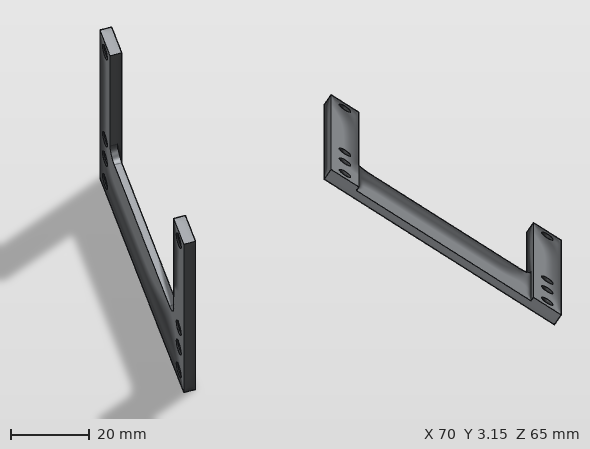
import cadquery as cq

width = 70.0
height = 65.0
thickness = 3.15

leg_width = 8.5
web_height = 22.0
corner_radius = 3.5

web_thickness = 2.0

hole_diameter = 3.4
chamfer_diameter = 4.1
hole_chamfer = (chamfer_diameter - hole_diameter) / 2
hole_heights = (4.3, 14.3, 22.75, 61.0)

opening_width = width - 2 * leg_width


def box(size_x, size_y, size_z, x, y, z):
    """Box with its lowest corner at (x, y, z)."""
    return cq.Workplane("XY").box(size_x, size_y, size_z, centered=False).translate((x, y, z))


def opening():
    """Cutter for the gap between the legs, with rounded lower corners."""
    gap = box(opening_width, thickness, height - web_height, leg_width, 0, web_height)
    return gap.edges("|Y and <Z").fillet(corner_radius)


def back_recess():
    """Cutter that thins the web from behind, over its full height."""
    return box(opening_width, thickness - web_thickness, height, leg_width, web_thickness, 0)


def screw_hole(x, z):
    """Cutter for a through hole chamfered at the front face."""
    axis = cq.Vector(0, 1, 0)
    mouth = cq.Vector(x, 0, z)
    bore = cq.Solid.makeCylinder(hole_diameter / 2, thickness, mouth, axis)
    chamfer = cq.Solid.makeCone(chamfer_diameter / 2, hole_diameter / 2, hole_chamfer, mouth, axis)
    return bore.fuse(chamfer)


result = box(width, thickness, height, 0, 0, 0).cut(opening()).cut(back_recess())
for hole_x in (leg_width / 2, width - leg_width / 2):
    for hole_z in hole_heights:
        result = result.cut(cq.Workplane(obj=screw_hole(hole_x, hole_z)))